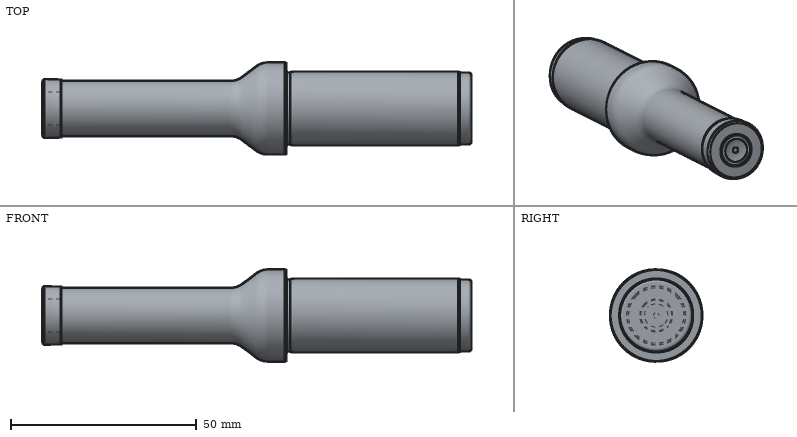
import cadquery as cq
import math

overall_length = 115.99

head_length = 4.95
head_bore_radius = 4.45
face_drop = 0.1
face_radius = 7.45
lead_length = 0.6
head_front_radius = 8.0
head_rear_radius = 7.88

spigot_tip_radius = 4.15
spigot_gap_depth = 0.3

dimple_mouth_radius = 3.15
dimple_bevel_radius = 2.8
dimple_bevel_depth = 0.15
dimple_middle_radius = 1.9
dimple_middle_depth = 0.35
dimple_floor_radius = 0.95
dimple_floor_depth = 0.42
center_pit_radius = 0.75
center_pit_depth = 0.5

neck_radius = 15 / 2
seat_length = 0.35
collar_radius = 25 / 2
clamp_radius = 20 / 2
relief_radius = 19.5 / 2
clamp_length = 50.0
collar_length = 5.0
flare_length = 10.0
flare_fillet = 5.0
collar_chamfer_length = 0.45
collar_chamfer_height = 0.2
collar_step_length = 0.2
relief_groove_length = 0.75
lead_in_length = 0.75
rear_land_length = 3.1
rear_cone_length = 0.4
shoulder_length = 0.15
shoulder_height = 0.1
rear_round = 0.9

collar_rear = overall_length - clamp_length
flare_end = collar_rear - collar_length
flare_start = flare_end - flare_length


def turned(profile):
    """Revolve a closed (x, radius) outline about the X axis."""
    return profile.close().revolve(360, (0, 0, 0), (1, 0, 0))


def make_head():
    return turned(
        cq.Workplane("XY")
        .moveTo(0, head_bore_radius)
        .lineTo(face_drop, face_radius)
        .lineTo(face_drop + lead_length, head_front_radius)
        .lineTo(head_length, head_rear_radius)
        .lineTo(head_length, head_bore_radius)
    )


def make_shank():
    flare_rise = collar_radius - neck_radius
    center_rise = 2 * flare_fillet - flare_rise
    center_distance = math.hypot(flare_length, center_rise)
    flare_angle = math.atan2(flare_length, center_rise) - math.acos(2 * flare_fillet / center_distance)

    def concave_point(angle):
        return (
            flare_start + flare_fillet * math.sin(angle),
            neck_radius + flare_fillet * (1 - math.cos(angle)),
        )

    def convex_point(angle):
        return (
            flare_end - flare_fillet * math.sin(angle),
            collar_radius - flare_fillet * (1 - math.cos(angle)),
        )

    groove_start = collar_rear + collar_step_length
    groove_end = groove_start + relief_groove_length
    lead_in_start = groove_end + shoulder_length
    land_start = overall_length - rear_land_length
    rear_cone_end = land_start - shoulder_length
    shoulder_radius = relief_radius + shoulder_height
    round_start = overall_length - rear_round
    round_middle = (
        round_start + rear_round * math.sin(math.pi / 4),
        relief_radius - rear_round * (1 - math.cos(math.pi / 4)),
    )
    seat_end = head_length + seat_length
    return turned(
        cq.Workplane("XY")
        .moveTo(center_pit_depth, 0)
        .lineTo(center_pit_depth, center_pit_radius)
        .lineTo(dimple_floor_depth, dimple_floor_radius)
        .lineTo(dimple_middle_depth, dimple_middle_radius)
        .lineTo(dimple_bevel_depth, dimple_bevel_radius)
        .lineTo(0, dimple_mouth_radius)
        .lineTo(0, spigot_tip_radius)
        .lineTo(spigot_gap_depth, spigot_tip_radius)
        .lineTo(spigot_gap_depth, head_bore_radius)
        .lineTo(head_length, head_bore_radius)
        .lineTo(head_length, head_rear_radius)
        .lineTo(seat_end, head_rear_radius)
        .lineTo(seat_end, neck_radius)
        .lineTo(flare_start, neck_radius)
        .threePointArc(concave_point(flare_angle / 2), concave_point(flare_angle))
        .lineTo(*convex_point(flare_angle))
        .threePointArc(convex_point(flare_angle / 2), (flare_end, collar_radius))
        .lineTo(collar_rear - collar_chamfer_length, collar_radius)
        .lineTo(collar_rear, collar_radius - collar_chamfer_height)
        .lineTo(collar_rear, clamp_radius)
        .lineTo(groove_start, clamp_radius)
        .lineTo(groove_start, relief_radius)
        .lineTo(groove_end, relief_radius)
        .lineTo(lead_in_start, shoulder_radius)
        .lineTo(lead_in_start + lead_in_length, clamp_radius)
        .lineTo(rear_cone_end - rear_cone_length, clamp_radius)
        .lineTo(rear_cone_end, shoulder_radius)
        .lineTo(land_start, relief_radius)
        .lineTo(round_start, relief_radius)
        .threePointArc(round_middle, (overall_length, relief_radius - rear_round))
        .lineTo(overall_length, 0)
    )


head = make_head()
shank = make_shank()

result = cq.Compound.makeCompound([head.val(), shank.val()])